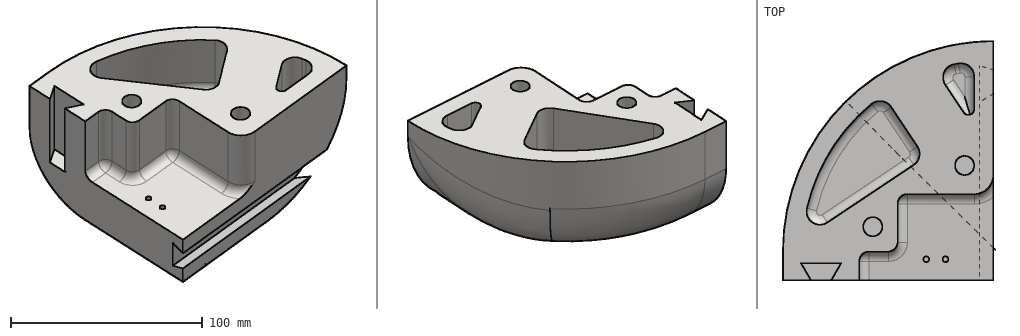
import cadquery as cq
import math

outer_radius = 110.0
front_extension = 15.0
height = 70.0
front_y = -front_extension

back_radius = 60.0
edge_radius = 40.0
roll_start_y = outer_radius - back_radius

recess_floor_z = 30.0
recess_left_x = -70.0
recess_step_x = -50.0
recess_step_y = 0.0
recess_back_y = 30.0
recess_corner_radius = 5.0
recess_exit_radius = 10.0
floor_fillet = 5.0
overrun = 20.0

large_hole_diameter = 10.0
large_hole_depth = 40.0
large_hole_centers = [(-63.0, 13.0), (-15.0, 45.0)]
small_hole_diameter = 3.0
small_hole_depth = 10.0
small_hole_centers = [(-35.0, -4.0), (-25.0, -4.0)]

pocket_depth = 35.0
pocket_wall = 10.0
pocket_web = 15.0
pocket_corner_radius = 7.0
pocket_tip_radius = 3.0
pocket_floor_z = height - pocket_depth
pocket_arc_radius = outer_radius - pocket_wall
reach = outer_radius

front_groove_x = -90.0
front_groove_width = 21.0
front_groove_into = 9.0
front_groove_length = 45.0
front_groove_angle = 30.0
side_groove_z = 15.0
side_groove_width = 16.0
side_groove_into = 7.25
side_groove_angle = 20.0


def dovetail(width, depth, angle, length):
    """Dovetail prism along Z: mouth centered on the origin, widening toward +Y."""
    half_base = width / 2
    half_mouth = half_base - depth * math.tan(math.radians(angle))
    points = [(-half_mouth, 0), (half_mouth, 0), (half_base, depth), (-half_base, depth)]
    return cq.Workplane("XY").polyline(points).close().extrude(length)


def make_quarter():
    """Quarter-round block with square edges and a straight stretch at the front."""
    return (
        cq.Workplane("XY")
        .moveTo(0, front_y)
        .lineTo(-outer_radius, front_y)
        .lineTo(-outer_radius, 0)
        .radiusArc((0, outer_radius), outer_radius)
        .close()
        .extrude(height)
    )


def make_rolled_envelope():
    """Prism along X whose underside curves up to the back of the part."""
    return (
        cq.Workplane("YZ", origin=(-outer_radius, 0, 0))
        .moveTo(front_y, 0)
        .lineTo(roll_start_y, 0)
        .radiusArc((outer_radius, back_radius), -back_radius)
        .lineTo(outer_radius, height)
        .lineTo(front_y, height)
        .close()
        .extrude(outer_radius)
    )


def make_back_sector():
    """Wedge about the arc axis where the outer fillet runs against the rolled underside."""
    split_angle = math.asin(roll_start_y / (outer_radius - edge_radius))
    span = 2 * outer_radius
    split_end = (-span * math.cos(split_angle), span * math.sin(split_angle))
    return cq.Workplane("XY").polyline([(0, 0), (0, span), split_end]).close().extrude(height)


def make_body():
    """Block filleted against the flat underside at the front and the rolled one at the back."""
    quarter = make_quarter()
    back_sector = make_back_sector()
    lower_edge = cq.NearestToPointSelector((-outer_radius, front_y / 2, 0))
    front = quarter.edges(lower_edge).fillet(edge_radius).cut(back_sector)
    rolled = quarter.intersect(make_rolled_envelope())
    back = rolled.edges(lower_edge).fillet(edge_radius).intersect(back_sector)
    return front.union(back)


def make_recess():
    """Stepped recess, open to the front, the flat side and the top."""
    exit_y = recess_back_y + recess_exit_radius
    cutter = (
        cq.Workplane("XY", origin=(0, 0, recess_floor_z))
        .moveTo(recess_left_x, front_y - overrun)
        .lineTo(recess_left_x, recess_step_y)
        .lineTo(recess_step_x, recess_step_y)
        .lineTo(recess_step_x, recess_back_y)
        .lineTo(-recess_exit_radius, recess_back_y)
        .radiusArc((0, exit_y), -recess_exit_radius)
        .lineTo(0, exit_y + overrun)
        .lineTo(overrun, exit_y + overrun)
        .lineTo(overrun, front_y - overrun)
        .close()
        .extrude(height - recess_floor_z + overrun)
    )
    corners = [
        (recess_left_x, recess_step_y),
        (recess_step_x, recess_step_y),
        (recess_step_x, recess_back_y),
    ]
    for x, y in corners:
        middle = (x, y, (recess_floor_z + height + overrun) / 2)
        cutter = cutter.edges(cq.NearestToPointSelector(middle)).fillet(recess_corner_radius)
    floor_edge = cq.NearestToPointSelector((recess_left_x, front_y, recess_floor_z))
    return cutter.edges(floor_edge).fillet(floor_fillet)


(left_x, left_y), (right_x, right_y) = large_hole_centers
row_length = math.hypot(right_x - left_x, right_y - left_y)
along = ((right_x - left_x) / row_length, (right_y - left_y) / row_length)
across = (-along[1], along[0])


def from_right_hole(distance_along, distance_across):
    """Point measured from the right large hole along and across the hole line."""
    x = right_x + distance_along * along[0] + distance_across * across[0]
    y = right_y + distance_along * along[1] + distance_across * across[1]
    return x, y


def pocket_prism(points):
    """Prism over a polygon, trimmed by the arc that runs parallel to the outer wall."""
    polygon = cq.Workplane("XY").polyline(points).close().extrude(pocket_depth)
    cylinder = cq.Workplane("XY").circle(pocket_arc_radius).extrude(pocket_depth)
    return polygon.intersect(cylinder).translate((0, 0, pocket_floor_z))


def make_main_pocket():
    """Large pocket between the outer wall and the two webs."""
    prism = pocket_prism(
        [
            from_right_hole(-pocket_web, pocket_web),
            from_right_hole(-pocket_web, pocket_web + reach),
            from_right_hole(-pocket_web - reach, pocket_web + reach),
            from_right_hole(-pocket_web - reach, pocket_web),
        ]
    )
    return prism.edges("|Z").fillet(pocket_corner_radius).faces("<Z").edges().fillet(floor_fillet)


def make_tip_pocket():
    """Wedge pocket beside the flat side; its narrow tip has a smaller radius."""
    side_x = -pocket_wall
    base_x, base_y = from_right_hole(pocket_web, 0)
    tip_y = base_y + (side_x - base_x) * across[1] / across[0]
    far = (side_x + reach * across[0], tip_y + reach * across[1])
    prism = pocket_prism([(side_x, tip_y), (side_x, tip_y + reach), far])
    wedge = prism.edges("|Z").edges(">Y or <X").fillet(pocket_corner_radius)
    rounded_tip = wedge.edges("|Z").edges("<Y").fillet(pocket_tip_radius)
    return wedge.faces("<Z").edges().fillet(floor_fillet).intersect(rounded_tip)


def make_holes(centers, diameter, top_z, depth):
    """Blind round holes drilled down from the given level."""
    return (
        cq.Workplane("XY", origin=(0, 0, top_z - depth))
        .pushPoints(centers)
        .circle(diameter / 2)
        .extrude(depth)
    )


def make_front_groove():
    """Upright dovetail groove in the front face, open at the top."""
    prism = dovetail(front_groove_width, front_groove_into, front_groove_angle, front_groove_length)
    return prism.translate((front_groove_x, front_y, height - front_groove_length))


def make_side_groove():
    """Dovetail groove along the whole flat side."""
    length = front_extension + outer_radius
    prism = dovetail(side_groove_width, side_groove_into, side_groove_angle, length)
    lying = prism.rotate((0, 0, 0), (0, 0, 1), 90).rotate((0, 0, 0), (1, 0, 0), -90)
    return lying.translate((0, front_y, side_groove_z))


result = (
    make_body()
    .cut(make_recess())
    .cut(make_main_pocket())
    .cut(make_tip_pocket())
    .cut(make_holes(large_hole_centers, large_hole_diameter, height, large_hole_depth))
    .cut(make_holes(small_hole_centers, small_hole_diameter, recess_floor_z, small_hole_depth))
    .cut(make_front_groove())
    .cut(make_side_groove())
)